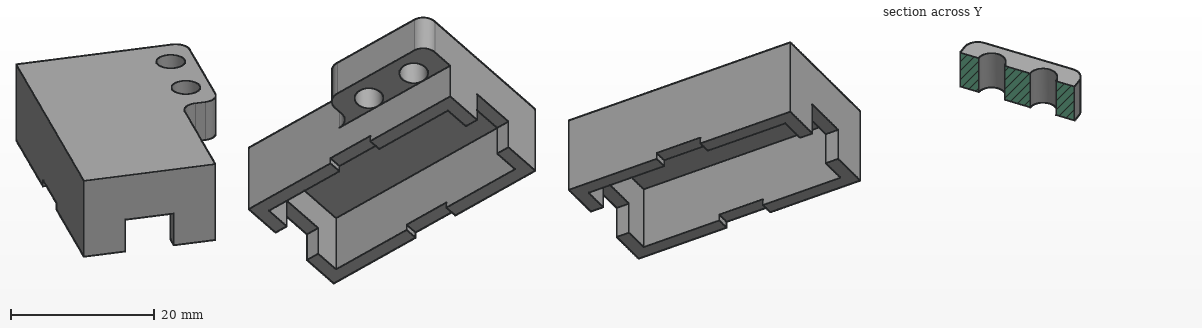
import cadquery as cq

length = 36.0
body_depth = 19.0
height = 12.0
wall = 2.0

total_depth = 24.5
ear_width = 17.8
ear_thickness = 6.0
corner_radius = 2.0

hole_diameter = 4.0
first_hole_x = 4.9
hole_spacing = 8.0
hole_to_rear = 3.5

channel_front = 6.0
channel_width = 7.0
channel_height = 5.0

relief_left = 14.3
relief_width = 7.1
relief_height = 1.0


def box_at(x, y, z, size_x, size_y, size_z):
    """Box with its lowest corner at (x, y, z)."""
    return cq.Workplane("XY").box(size_x, size_y, size_z, centered=False).translate((x, y, z))


def make_ear():
    """Plate with two rounded rear corners and a concave blend into the block."""
    r = corner_radius
    diagonal = r * (1 - 0.5 ** 0.5)
    return (
        cq.Workplane("XY", origin=(0, 0, height - ear_thickness))
        .lineTo(ear_width + r, 0)
        .lineTo(ear_width + r, body_depth)
        .threePointArc(
            (ear_width + diagonal, body_depth + diagonal),
            (ear_width, body_depth + r),
        )
        .lineTo(ear_width, total_depth - r)
        .threePointArc(
            (ear_width - diagonal, total_depth - diagonal),
            (ear_width - r, total_depth),
        )
        .lineTo(r, total_depth)
        .threePointArc((diagonal, total_depth - diagonal), (0, total_depth - r))
        .close()
        .extrude(ear_thickness)
    )


def make_holes():
    """Cylinders for the two mounting holes."""
    hole_y = total_depth - hole_to_rear
    centers = [(first_hole_x + i * hole_spacing, hole_y) for i in range(2)]
    return cq.Workplane("XY").pushPoints(centers).circle(hole_diameter / 2).extrude(height)


block = box_at(0, 0, 0, length, body_depth, height)
cavity = box_at(wall, wall, 0, length - 2 * wall, body_depth - 2 * wall, height - wall)
channel = box_at(0, channel_front, 0, length, channel_width, channel_height)
relief = box_at(relief_left, 0, 0, relief_width, body_depth, relief_height)

result = block.union(make_ear()).cut(cavity).cut(channel).cut(relief).cut(make_holes())